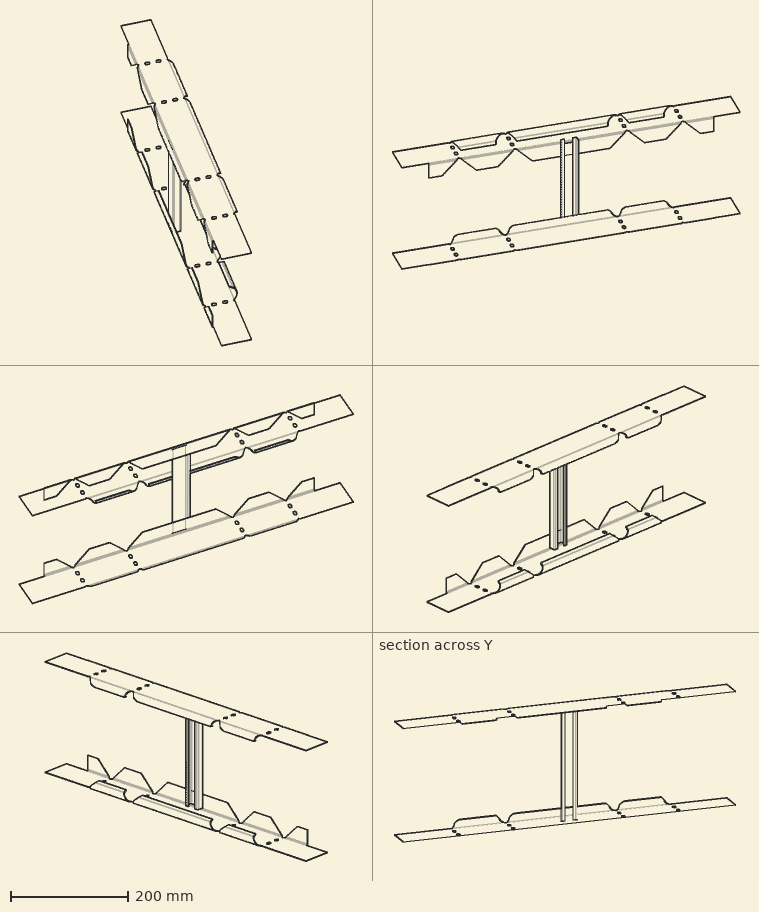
import math

import cadquery as cq

LENGTH = 604.0
DEPTH = 64.0
HEIGHT = 204.0
FRONT = -DEPTH / 2
BACK = DEPTH / 2
TOP = HEIGHT / 2

THICKNESS = 1.5
BEND_RADIUS = 2.7

TAB_LENGTH = 508.5
TAB_HEIGHT = 29.0
HOOK_RADIUS = 8.0
HOOK_SWEEP = 160.0
LIP_LENGTH = 7.0
FLANGE_FRONT = FRONT + BEND_RADIUS
FLANGE_BACK = BACK - HOOK_RADIUS

OUTER_NOTCH = 200.0
NOTCH_POSITIONS = [-OUTER_NOTCH, -OUTER_NOTCH / 2, OUTER_NOTCH / 2, OUTER_NOTCH]
NOTCH_DEPTH_IN_FLANGE = 2.0
SLOT_WIDTH = 5.5
SLOT_LENGTH = 8.5
SLOT_SPACING = 20.0
SLOT_CENTRE_Y = (FLANGE_FRONT + FLANGE_BACK) / 2

POST_WIDTH = 30.0
POST_DEPTH = 15.0
POST_HEIGHT = 193.0
POST_LIP = 8.0
POST_BEND_RADIUS = 3.0


def extrude_along_x(outline, length):
    """Extrude a YZ outline symmetrically about X = 0."""
    return outline.extrude(length / 2, both=True)


def flange():
    """Flat strip over the full length of the rail."""
    width = FLANGE_BACK - FLANGE_FRONT
    strip = cq.Workplane("XY").box(LENGTH, width, THICKNESS, centered=(True, False, False))
    return strip.translate((0, FLANGE_FRONT, TOP - THICKNESS))


def front_tab():
    """Flat tab below the flange, joined to it by a rounded bend."""
    inner_radius = BEND_RADIUS - THICKNESS
    centre_z = TOP - BEND_RADIUS
    diagonal = math.sqrt(0.5)
    outline = (
        cq.Workplane("YZ")
        .moveTo(FLANGE_FRONT, TOP)
        .threePointArc(
            (FLANGE_FRONT - BEND_RADIUS * diagonal, centre_z + BEND_RADIUS * diagonal),
            (FRONT, centre_z),
        )
        .lineTo(FRONT, TOP - TAB_HEIGHT)
        .lineTo(FRONT + THICKNESS, TOP - TAB_HEIGHT)
        .lineTo(FRONT + THICKNESS, centre_z)
        .threePointArc(
            (FLANGE_FRONT - inner_radius * diagonal, centre_z + inner_radius * diagonal),
            (FLANGE_FRONT, TOP - THICKNESS),
        )
        .close()
    )
    return extrude_along_x(outline, TAB_LENGTH)


def hook_point(radius, degrees, along_lip=0.0):
    """Point on the curl at an angle from its top, moved along the tangent there."""
    angle = math.radians(degrees)
    return (
        FLANGE_BACK + radius * math.sin(angle) + along_lip * math.cos(angle),
        TOP - HOOK_RADIUS + radius * math.cos(angle) - along_lip * math.sin(angle),
    )


def rear_hook():
    """Curl rolled down from the back of the flange, ending in a straight lip."""
    inner_radius = HOOK_RADIUS - THICKNESS
    outline = (
        cq.Workplane("YZ")
        .moveTo(*hook_point(HOOK_RADIUS, 0))
        .threePointArc(hook_point(HOOK_RADIUS, HOOK_SWEEP / 2), hook_point(HOOK_RADIUS, HOOK_SWEEP))
        .lineTo(*hook_point(HOOK_RADIUS, HOOK_SWEEP, LIP_LENGTH))
        .lineTo(*hook_point(inner_radius, HOOK_SWEEP, LIP_LENGTH))
        .lineTo(*hook_point(inner_radius, HOOK_SWEEP))
        .threePointArc(hook_point(inner_radius, HOOK_SWEEP / 2), hook_point(inner_radius, 0))
        .close()
    )
    return extrude_along_x(outline, 2 * OUTER_NOTCH)


def vertical_notch(x, apex_y, edge_y):
    """Right-angled V notch cut through in Z, from its apex out to the given edge."""
    half_width = abs(edge_y - apex_y)
    return (
        cq.Workplane("XY")
        .polyline([(x, apex_y), (x - half_width, edge_y), (x + half_width, edge_y)])
        .close()
        .extrude(TOP)
    )


def widening_notch(x):
    """45-degree V notch through the full depth that widens from the flange downward."""
    apex_z = TOP + NOTCH_DEPTH_IN_FLANGE
    edge_z = TOP - TAB_HEIGHT
    half_width = apex_z - edge_z
    return (
        cq.Workplane("XZ")
        .polyline([(x, apex_z), (x - half_width, edge_z), (x + half_width, edge_z)])
        .close()
        .extrude(DEPTH / 2, both=True)
    )


def flange_slots():
    """Pair of slots, long in Y, at every notch position."""
    centres = [
        (x, SLOT_CENTRE_Y + side * SLOT_SPACING / 2) for x in NOTCH_POSITIONS for side in (-1, 1)
    ]
    return cq.Workplane("XY").pushPoints(centres).slot2D(SLOT_LENGTH, SLOT_WIDTH, 90).extrude(TOP)


def make_upper_rail():
    """Flange with a notched tab along its front and a notched hook along its back."""
    tab = front_tab()
    hook = rear_hook()
    for x in NOTCH_POSITIONS:
        tab = tab.cut(widening_notch(x))
        hook = hook.cut(widening_notch(x))
    rail = flange().union(tab).union(hook)
    for x in NOTCH_POSITIONS:
        rail = rail.cut(vertical_notch(x, FLANGE_FRONT + NOTCH_DEPTH_IN_FLANGE, FRONT))
        rail = rail.cut(vertical_notch(x, FLANGE_BACK - NOTCH_DEPTH_IN_FLANGE, BACK))
    return rail.cut(flange_slots())


def make_post():
    """Lipped channel with its web to the front and its open side to the back."""
    web_front = FRONT + THICKNESS
    mid_y = web_front + POST_DEPTH / 2
    inner_width = POST_WIDTH - 2 * THICKNESS
    inner_depth = POST_DEPTH - 2 * THICKNESS
    shell = cq.Workplane("XY").box(POST_WIDTH, POST_DEPTH, POST_HEIGHT).edges("|Z").fillet(POST_BEND_RADIUS)
    bore = (
        cq.Workplane("XY")
        .box(inner_width, inner_depth, POST_HEIGHT)
        .edges("|Z")
        .fillet(POST_BEND_RADIUS - THICKNESS)
    )
    opening = cq.Workplane("XY").box(POST_WIDTH - 2 * POST_LIP, POST_DEPTH, POST_HEIGHT)
    opening = opening.translate((0, POST_DEPTH / 2, 0))
    return shell.cut(bore).cut(opening).translate((0, mid_y, 0))


upper_rail = make_upper_rail()
lower_rail = upper_rail.mirror("XY")
post = make_post()

result = cq.Compound.makeCompound([upper_rail.val(), lower_rail.val(), post.val()])